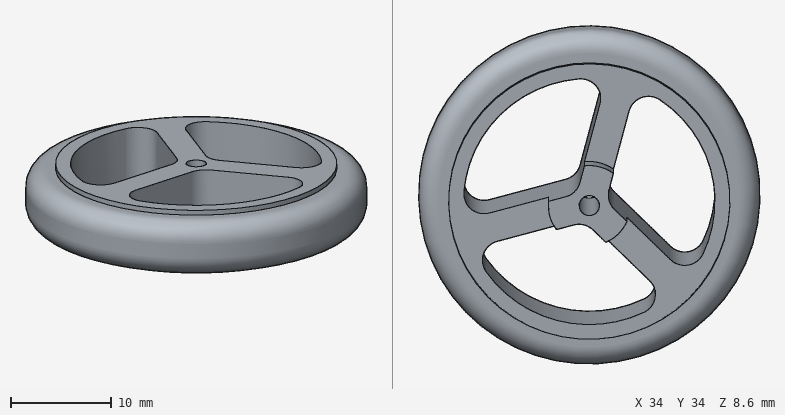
import cadquery as cq
import math

wheel_diameter = 34.0
tire_width = 5.6
tire_edge_radius = 2.0
disc_diameter = 28.0
disc_step = 0.5
bore_diameter = 2.0

spoke_count = 3
spoke_width = 3.0
window_outer_radius = 12.5
window_corner_radius = 2.0

boss_radius = 4.08
boss_height = 2.0

disc_height = tire_width + 2 * disc_step
spoke_angle = 360.0 / spoke_count


def make_tire():
    """Solid rim with rounded outer edges, centred on Z = 0."""
    return (
        cq.Workplane("XY")
        .workplane(offset=-tire_width / 2)
        .circle(wheel_diameter / 2)
        .extrude(tire_width)
        .faces("<Z or >Z")
        .edges()
        .fillet(tire_edge_radius)
    )


def make_disc_and_boss():
    """Central disc with a round boss underneath it."""
    disc = (
        cq.Workplane("XY")
        .workplane(offset=-disc_height / 2)
        .circle(disc_diameter / 2)
        .extrude(disc_height)
    )
    boss = (
        cq.Workplane("XY")
        .workplane(offset=-disc_height / 2 - boss_height)
        .circle(boss_radius)
        .extrude(boss_height)
    )
    return disc.union(boss)


def make_window():
    """Cutter for one rounded sector opening between the spokes at 0 and spoke_angle."""
    half_angle = math.radians(spoke_angle / 2)
    half_width = spoke_width / 2

    inner_distance = half_width / math.sin(half_angle)
    inner_x = inner_distance * math.cos(half_angle)

    corner_offset = math.asin(half_width / window_outer_radius)
    second_angle = 2 * half_angle - corner_offset

    def rim_point(angle):
        return (window_outer_radius * math.cos(angle), window_outer_radius * math.sin(angle))

    return (
        cq.Workplane("XY")
        .workplane(offset=-disc_height / 2 - boss_height)
        .moveTo(inner_x, half_width)
        .lineTo(*rim_point(corner_offset))
        .threePointArc(rim_point(half_angle), rim_point(second_angle))
        .close()
        .extrude(disc_height + boss_height)
        .edges("|Z")
        .fillet(window_corner_radius)
    )


wheel = make_tire().union(make_disc_and_boss())

window = make_window()
for index in range(spoke_count):
    wheel = wheel.cut(window.rotate((0, 0, 0), (0, 0, 1), index * spoke_angle))

result = wheel.faces(">Z").workplane(origin=(0, 0, 0)).hole(bore_diameter)